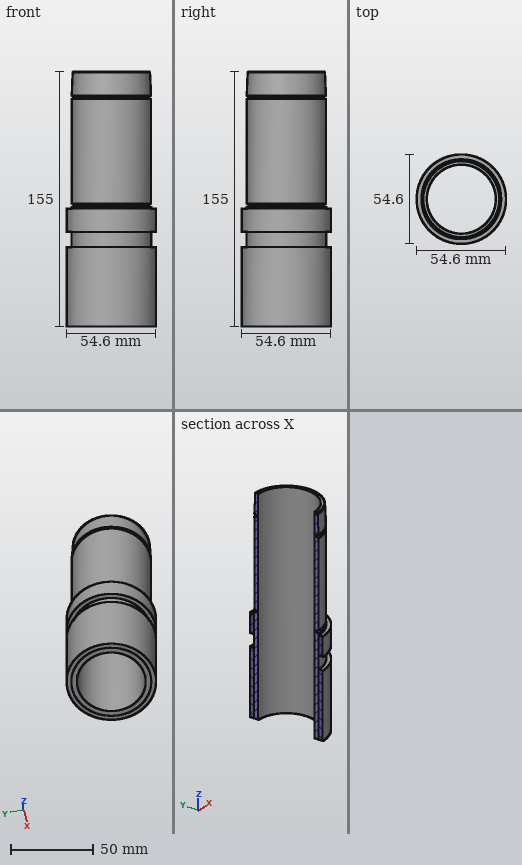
import cadquery as cq

total_height = 155.0
bore_radius = 21.0
tube_radius = 24.2
seat_radius = 24.3
ring_radius = 27.3

groove_radius = 22.3
groove_side_height = 0.8
upper_groove_top = 140.5
upper_groove_bottom = 138.3
lower_groove_top = 74.9
lower_groove_bottom = 72.7

taper_top_radius = 23.5
taper_bulge = 0.08
rim_chamfer = 0.5

sleeve_height = 48.4
collar_bottom = 57.7
collar_height = 14.1


def make_groove_cutter(bottom, top):
    """Ring that cuts a groove with sloping sides and a narrow floor into the tube."""
    return (
        cq.Workplane("XZ")
        .moveTo(groove_radius, bottom + groove_side_height)
        .lineTo(tube_radius, bottom)
        .lineTo(seat_radius, bottom)
        .lineTo(seat_radius, top)
        .lineTo(tube_radius, top)
        .lineTo(groove_radius, top - groove_side_height)
        .close()
        .revolve(360, (0, 0, 0), (0, 1, 0))
    )


def make_tube():
    """Full-length tube with two grooves, a rounded taper on top and a thicker seat for the rings."""
    rim_bottom = total_height - rim_chamfer
    taper_middle = (upper_groove_top + rim_bottom) / 2
    taper_mid_radius = (tube_radius + taper_top_radius) / 2 + taper_bulge
    blank = (
        cq.Workplane("XZ")
        .moveTo(bore_radius, 0)
        .lineTo(seat_radius, 0)
        .lineTo(seat_radius, lower_groove_bottom)
        .lineTo(tube_radius, lower_groove_bottom)
        .lineTo(tube_radius, upper_groove_top)
        .threePointArc((taper_mid_radius, taper_middle), (taper_top_radius, rim_bottom))
        .lineTo(taper_top_radius - rim_chamfer, total_height)
        .lineTo(bore_radius, total_height)
        .close()
        .revolve(360, (0, 0, 0), (0, 1, 0))
    )
    upper_groove = make_groove_cutter(upper_groove_bottom, upper_groove_top)
    lower_groove = make_groove_cutter(lower_groove_bottom, lower_groove_top)
    return blank.cut(upper_groove).cut(lower_groove)


def make_ring(bottom, height):
    """Plain ring that fits closely around the tube."""
    return (
        cq.Workplane("XY")
        .workplane(offset=bottom)
        .circle(ring_radius)
        .circle(seat_radius)
        .extrude(height)
    )


tube = make_tube()
sleeve = make_ring(0, sleeve_height)
collar = make_ring(collar_bottom, collar_height)

result = cq.Compound.makeCompound([tube.val(), sleeve.val(), collar.val()])